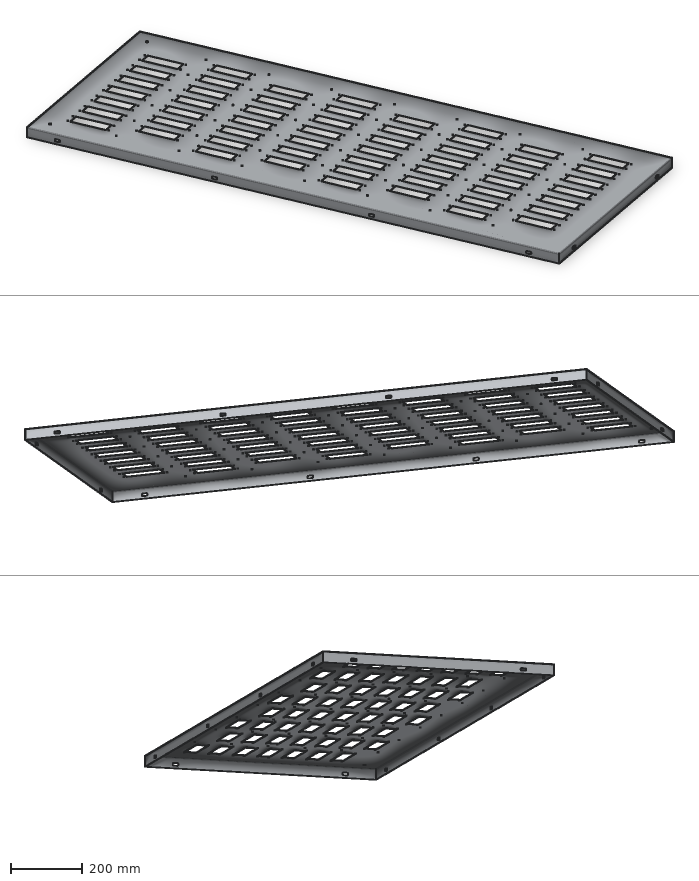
import cadquery as cq

length = 1697.0
width = 682.0
height = 32.0

sheet = 1.5
bend_radius = 2.0
cut_clearance = sheet
cut_depth = sheet + 2 * cut_clearance

window_columns = 8
window_rows = 7
column_span = 1400.0
row_span = 433.0
column_pitch = column_span / (window_columns - 1)
row_pitch = row_span / (window_rows - 1)
window_length = 114.0
window_width = 35.0
stagger = row_pitch / 4

fixing_diameter = 3.0
fixing_spacing_x = 130.0
fixing_spacing_y = 32.0

between_rows = 6
between_pitch = 1.5 * row_pitch
between_diameter = 4.0

edge_hole_diameter = 7.0
edge_hole_inset = 50.0

slot_pitch = 500.0
slot_length = 17.0
slot_width = 7.6
slot_height = 12.0
long_wall_slots = 4
short_wall_slots = 2


def spread(count, pitch):
    """Positions of evenly spaced items centred on zero."""
    return [(i - (count - 1) / 2) * pitch for i in range(count)]


def folded_sheet():
    """Top plate with a wall folded down along every side, open below."""
    outside = cq.Workplane("XY").box(length, width, height, centered=(True, True, False))
    outside = outside.faces(">Z").edges().fillet(bend_radius)
    inside = cq.Workplane("XY").box(
        length - 2 * sheet, width - 2 * sheet, height - sheet, centered=(True, True, False)
    )
    inside = inside.faces(">Z").edges().fillet(bend_radius - sheet)
    return outside.cut(inside)


def plate_cutter():
    """Blank plane from which cutters rise through the top plate."""
    return cq.Workplane("XY").workplane(offset=height - sheet - cut_clearance)


def window_centres():
    """Window centres column by column, alternately shifted down and up."""
    centres = []
    for column, x in enumerate(spread(window_columns, column_pitch)):
        shift = stagger if column % 2 else -stagger
        centres += [(x, y + shift) for y in spread(window_rows, row_pitch)]
    return centres


def round_holes(points, diameter):
    """Cutters for equal round holes through the top plate."""
    return plate_cutter().pushPoints(points).circle(diameter / 2).extrude(cut_depth)


def windows():
    return plate_cutter().pushPoints(window_centres()).rect(window_length, window_width).extrude(cut_depth)


def fixing_holes():
    points = [
        (x + dx, y + dy)
        for x, y in window_centres()
        for dx in spread(2, fixing_spacing_x)
        for dy in spread(2, fixing_spacing_y)
    ]
    return round_holes(points, fixing_diameter)


def between_holes():
    points = [
        (x, y)
        for x in spread(window_columns - 1, column_pitch)
        for y in spread(between_rows, between_pitch)
    ]
    return round_holes(points, between_diameter)


def edge_holes():
    x = edge_hole_inset - length / 2
    points = [(x, y) for y in spread(2, width - 2 * edge_hole_inset)]
    return round_holes(points, edge_hole_diameter)


def wall_slots(plane, count, depth):
    """Slots running through both opposite walls."""
    points = [(along, slot_height) for along in spread(count, slot_pitch)]
    return (
        cq.Workplane(plane)
        .pushPoints(points)
        .slot2D(slot_length, slot_width)
        .extrude(depth, both=True)
    )


result = folded_sheet()
for cutter in (windows(), fixing_holes(), between_holes(), edge_holes()):
    result = result.cut(cutter)
result = result.cut(wall_slots("XZ", long_wall_slots, width))
result = result.cut(wall_slots("YZ", short_wall_slots, length))